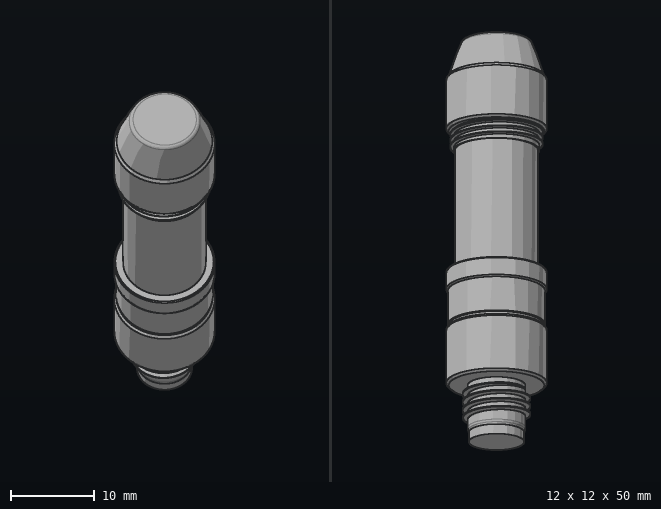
import cadquery as cq
import math

body_radius = 6.0
total_height = 50.0

tip_radius = 3.3
tip_taper_radius = 3.4
neck_radius = 3.45
tip_top = 1.2
tip_taper_top = 1.5
neck_bottom = 1.8

nut_bottom = 7.05
nut_top = 14.25
edge_chamfer = 0.3

sleeve_radius = 5.8
sleeve_bottom = 14.65
sleeve_edge = 0.1
groove_radius = sleeve_radius - sleeve_edge

ring_bottom = 18.85
ring_top = 21.3
ring_upper_edge = 0.15
ring_lower_edge = body_radius - sleeve_radius

shaft_radius = 4.95
collar_radius = 5.1
collar_bottom = 36.4

cap_bottom = 38.8
cap_shoulder = 45.2
nose_bottom = 45.6
nose_base_radius = 5.7
nose_tip_radius = 4.1
nose_bulge = 0.08
nose_fillet = 0.5

thread_root_sink = 0.3
fade_sink = 0.1
points_per_turn = 24
lower_thread = dict(
    root_radius=neck_radius, crest_radius=4.05, pitch=1.0, z_start=2.7, start_angle=60,
    turns=3.85, fade_in_turns=0.3, fade_out_turns=0.55, root_width=0.65, crest_width=0.12,
)
upper_thread = dict(
    root_radius=collar_radius, crest_radius=5.52, pitch=0.75, z_start=36.54, start_angle=0,
    turns=3.2, fade_in_turns=0.3, fade_out_turns=0.1, root_width=0.5, crest_width=0.1,
)


def turned_body():
    """Revolve the half outline, from the plug tip up to the nose, about Z."""
    nose_top = total_height
    nose_slope = math.atan2(nose_base_radius - nose_tip_radius, nose_top - nose_bottom)
    nose_mid_radius = (nose_base_radius + nose_tip_radius) / 2 + nose_bulge * math.cos(nose_slope)
    nose_mid_z = (nose_bottom + nose_top) / 2 + nose_bulge * math.sin(nose_slope)
    outline = (
        cq.Workplane("XZ")
        .moveTo(0, 0)
        .lineTo(tip_radius, 0)
        .lineTo(tip_radius, tip_top)
        .lineTo(tip_taper_radius, tip_taper_top)
        .lineTo(neck_radius, neck_bottom)
        .lineTo(neck_radius, nut_bottom)
        .lineTo(body_radius - edge_chamfer, nut_bottom)
        .lineTo(body_radius, nut_bottom + edge_chamfer)
        .lineTo(body_radius, nut_top - edge_chamfer)
        .lineTo(groove_radius, nut_top)
        .lineTo(groove_radius, sleeve_bottom - sleeve_edge)
        .lineTo(sleeve_radius, sleeve_bottom)
        .lineTo(sleeve_radius, ring_bottom)
        .lineTo(body_radius, ring_bottom + ring_lower_edge)
        .lineTo(body_radius, ring_top - ring_upper_edge)
        .lineTo(body_radius - ring_upper_edge, ring_top)
        .lineTo(shaft_radius, ring_top)
        .lineTo(shaft_radius, collar_bottom)
        .lineTo(collar_radius, collar_bottom)
        .lineTo(collar_radius, cap_bottom)
        .lineTo(body_radius - edge_chamfer, cap_bottom)
        .lineTo(body_radius, cap_bottom + edge_chamfer)
        .lineTo(body_radius, cap_shoulder)
        .lineTo(nose_base_radius, nose_bottom)
        .threePointArc((nose_mid_radius, nose_mid_z), (nose_tip_radius, nose_top))
        .lineTo(0, nose_top)
        .close()
    )
    body = outline.revolve(360, (0, 0, 0), (0, 1, 0))
    return body.faces(">Z").edges().fillet(nose_fillet)


def smooth_step(fraction):
    """Ease from 0 to 1 as the fraction goes from 0 to 1."""
    clamped = max(0.0, min(1.0, fraction))
    return (1 - math.cos(math.pi * clamped)) / 2


def thread_ridge(
    root_radius, crest_radius, pitch, z_start, start_angle,
    turns, fade_in_turns, fade_out_turns, root_width, crest_width,
):
    """Right-hand helical ridge whose crest sinks below the root at both ends."""
    foot_radius = root_radius - thread_root_sink
    crest_rise = crest_radius - root_radius + fade_sink
    steps = round(turns * points_per_turn)

    def helix_edge(on_crest, side):
        half_width = (crest_width if on_crest else root_width) / 2
        points = []
        for step in range(steps + 1):
            turn = turns * step / steps
            fade = smooth_step(turn / fade_in_turns) * smooth_step((turns - turn) / fade_out_turns)
            radius = root_radius - fade_sink + crest_rise * fade if on_crest else foot_radius
            angle = math.radians(start_angle) + math.tau * turn
            z = z_start + pitch * turn + side * half_width
            points.append(cq.Vector(radius * math.cos(angle), radius * math.sin(angle), z))
        return cq.Edge.makeSpline(points)

    corners = [
        helix_edge(False, -1),
        helix_edge(True, -1),
        helix_edge(True, 1),
        helix_edge(False, 1),
    ]
    faces = []
    for index, corner in enumerate(corners):
        faces.append(cq.Face.makeRuledSurface(corner, corners[(index + 1) % len(corners)]))
    for end in (0, 1):
        section = cq.Wire.makePolygon([corner.positionAt(end) for corner in corners], close=True)
        faces.append(cq.Face.makeFromWires(section))
    return cq.Solid.makeSolid(cq.Shell.makeShell(faces))


result = turned_body()
for thread in (lower_thread, upper_thread):
    result = result.union(cq.Workplane(thread_ridge(**thread)))